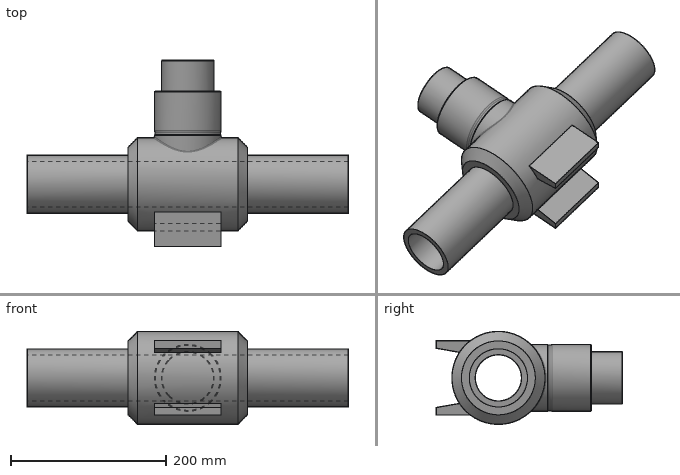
import cadquery as cq
import math

pipe_length = 414
pipe_diameter = 75.0
bore_diameter = 59.0

body_diameter = 120
body_length = 154.0
body_end_diameter = 95.2
body_taper_length = 12.5

neck_diameter = 86.0
neck_end = 120
neck_chamfer = 1.2
weld_fillet = 1.2
stem_diameter = 68.0
stem_end = 160.0
stem_chamfer = 1.0
groove_diameter = 85.0
groove_start = 63.0
groove_width = 6.2
groove_lower_slope = 1.0
groove_upper_slope = 2.5

plate_width = neck_diameter
plate_reach = 80.5
plate_outer_height = 48.0
plate_tip_thickness = 10.0
plate_slope = math.radians(10)
plate_root = 34.8


def make_body():
    """Barrel along X with a conical taper at both ends."""
    half_length = body_length / 2
    shoulder = half_length - body_taper_length
    profile = [
        (-half_length, 0),
        (-half_length, body_end_diameter / 2),
        (-shoulder, body_diameter / 2),
        (shoulder, body_diameter / 2),
        (half_length, body_end_diameter / 2),
        (half_length, 0),
    ]
    return cq.Workplane("XY").polyline(profile).close().revolve(360, (0, 0), (1, 0))


def make_neck():
    """Solid stepped neck with a shallow groove with sloped sides and chamfered ends."""
    neck_radius = neck_diameter / 2
    stem_radius = stem_diameter / 2
    profile = [
        (0, 0),
        (neck_radius, 0),
        (neck_radius, groove_start),
        (groove_diameter / 2, groove_start + groove_lower_slope),
        (groove_diameter / 2, groove_start + groove_width - groove_upper_slope),
        (neck_radius, groove_start + groove_width),
        (neck_radius, neck_end - neck_chamfer),
        (neck_radius - neck_chamfer, neck_end),
        (stem_radius, neck_end),
        (stem_radius, stem_end - stem_chamfer),
        (stem_radius - stem_chamfer, stem_end),
        (0, stem_end),
    ]
    return cq.Workplane("XY").polyline(profile).close().revolve(360, (0, 0), (0, 1))


def make_plate():
    """Upper plate, flat on top and thicker toward the barrel."""
    tip_height = plate_outer_height - plate_tip_thickness
    root_height = tip_height - (plate_reach - plate_root) * math.tan(plate_slope)
    profile = [
        (-plate_root, plate_outer_height),
        (-plate_reach, plate_outer_height),
        (-plate_reach, tip_height),
        (-plate_root, root_height),
    ]
    return cq.Workplane("YZ").polyline(profile).close().extrude(plate_width / 2, both=True)


def weld_neck(body, neck):
    """Join neck and barrel and round the saddle-shaped seam between them."""
    below_groove = cq.selectors.BoxSelector(
        (-neck_diameter, 0, -neck_diameter),
        (neck_diameter, groove_start, neck_diameter),
    )
    seam = body.union(neck).edges(below_groove).edges("not %CIRCLE").edges("not %LINE")
    return seam.fillet(weld_fillet)


pipe = cq.Workplane("YZ").circle(pipe_diameter / 2).extrude(pipe_length / 2, both=True)
bore = cq.Workplane("YZ").circle(bore_diameter / 2).extrude(pipe_length / 2, both=True)
plate = make_plate()

result = weld_neck(make_body(), make_neck())
result = result.union(pipe).union(plate).union(plate.mirror("XY"))
result = result.cut(bore)